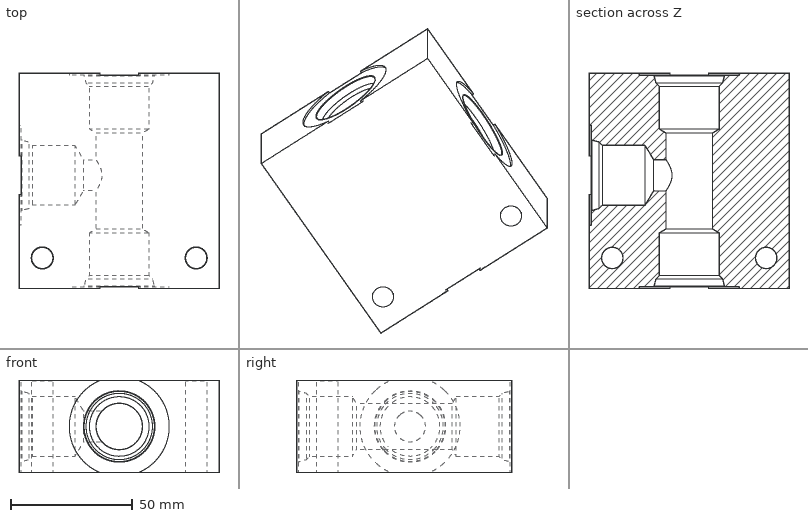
import cadquery as cq
import math

width = 82.55
length = 88.9
height = 38.1

spotface_diameter = 41.275
spotface_depth = 0.8
rim_diameter = 29.5
rim_chamfer = 0.25
seat_diameter = rim_diameter - 2 * rim_chamfer
thread_entry_diameter = 27.4
seat_half_angle = 15
thread_bore_diameter = 24.61
thread_entry_half_angle = 45
port_depth = 23.0
drill_point_half_angle = 59
side_port_y = 2.36

main_passage_diameter = 19.05
side_passage_diameter = 12.7

mount_hole_diameter = 8.73
mount_hole_chamfer = 0.2
mount_hole_spacing = 63.5
mount_hole_edge_distance = 12.7


def taper_length(large_diameter, small_diameter, half_angle):
    """Axial length of a cone between two diameters."""
    return (large_diameter - small_diameter) / 2 / math.tan(math.radians(half_angle))


def port_cutter(passage_diameter):
    """Port cavity turned about the Y axis, opening at y = 0 and running toward +Y."""
    seat_start = spotface_depth + rim_chamfer
    seat_end = seat_start + taper_length(seat_diameter, thread_entry_diameter, seat_half_angle)
    entry_end = seat_end + taper_length(
        thread_entry_diameter, thread_bore_diameter, thread_entry_half_angle
    )
    floor_end = port_depth + taper_length(
        thread_bore_diameter, passage_diameter, drill_point_half_angle
    )
    half_profile = [
        (0, 0),
        (spotface_diameter / 2, 0),
        (spotface_diameter / 2, spotface_depth),
        (rim_diameter / 2, spotface_depth),
        (seat_diameter / 2, seat_start),
        (thread_entry_diameter / 2, seat_end),
        (thread_bore_diameter / 2, entry_end),
        (thread_bore_diameter / 2, port_depth),
        (passage_diameter / 2, floor_end),
        (0, floor_end),
    ]
    return cq.Workplane("XY").polyline(half_profile).close().revolve(360, (0, 0), (0, 1))


def cut_end_ports(body):
    """Matching ports in the -Y and +Y faces, joined by the main passage."""
    front_port = port_cutter(main_passage_diameter).translate((0, -length / 2, 0))
    back_port = front_port.mirror("XZ")
    passage = cq.Workplane("XZ").circle(main_passage_diameter / 2).extrude(length / 2, both=True)
    return body.cut(front_port).cut(back_port).cut(passage)


def cut_side_port(body):
    """Port in the -X face, with a passage that ends in the main passage."""
    port = (
        port_cutter(side_passage_diameter)
        .rotate((0, 0, 0), (0, 0, 1), -90)
        .translate((-width / 2, side_port_y, 0))
    )
    passage = (
        cq.Workplane("YZ", origin=(-width / 2, side_port_y, 0))
        .circle(side_passage_diameter / 2)
        .extrude(width / 2)
    )
    return body.cut(port).cut(passage)


def cut_mount_holes(body):
    """Two through holes along Z near the -Y face, with the top rims lightly chamfered."""
    hole_radius = mount_hole_diameter / 2
    rim_radius = hole_radius + mount_hole_chamfer
    half_profile = [
        (0, -height / 2),
        (hole_radius, -height / 2),
        (hole_radius, height / 2 - mount_hole_chamfer),
        (rim_radius, height / 2),
        (0, height / 2),
    ]
    hole = cq.Workplane("XZ").polyline(half_profile).close().revolve(360, (0, 0), (0, 1))
    hole_y = mount_hole_edge_distance - length / 2
    for hole_x in (-mount_hole_spacing / 2, mount_hole_spacing / 2):
        body = body.cut(hole.translate((hole_x, hole_y, 0)))
    return body


block = cq.Workplane("XY").box(width, length, height)
result = cut_mount_holes(cut_side_port(cut_end_ports(block)))